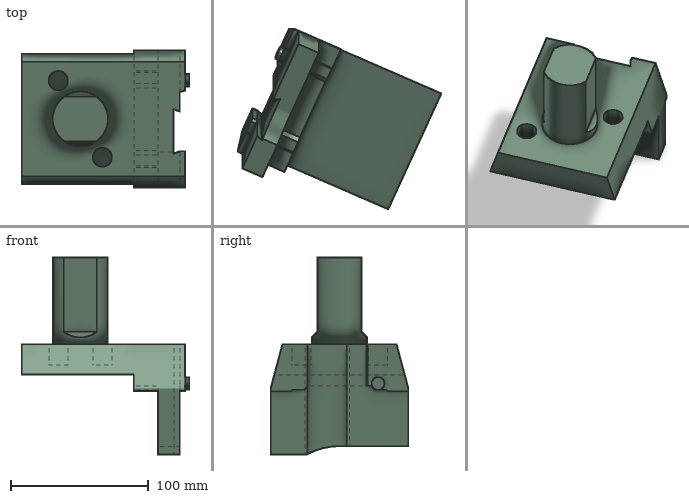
import cadquery as cq
import math


plate_min_x = -42.5
plate_max_x = 76.0
plate_thickness = 22.0
block_min_x = 38.7
block_depth = 34.0
block_width = 100.0
slope_depth = 32.0
slope_angle = 15.0

shaft_diameter = 40.0
shaft_height = 63.0
width_across_flats = 32.0
flat_start_z = 9.0

shallow_groove_depth = 0.9
shallow_groove_half_width = 34.0
deep_groove_depth = 4.0
deep_groove_half_width = 22.7
deep_groove_bevel = deep_groove_depth - shallow_groove_depth

leg_min_x = 56.2
leg_max_x = 72.2
leg_depth = 80.0
arch_rise = 6.0
arch_radius = 50.0

recess_min_y = -23.4
recess_max_y = 20.5
recess_taper = 1.0
slot_floor_x = 67.7
slot_floor_min_y = -25.1
slot_floor_max_y = 7.0
slot_mouth_max_y = 5.3

pin_diameter = 9.3
pin_length = 3.0
pin_y = 28.0
pin_z = -28.5

hole_offset_x = 16.0
hole_offset_y = 27.8
rear_hole_diameter = 14.0
front_hole_diameter = 13.8
hole_depth = 15.0


def make_body():
    """Plate and block with sloping sides."""
    half_width = block_width / 2
    top_half_width = half_width - slope_depth * math.tan(math.radians(slope_angle))
    length = plate_max_x - plate_min_x
    body = (
        cq.Workplane("YZ", origin=(plate_min_x, 0, 0))
        .moveTo(-top_half_width, 0)
        .lineTo(-half_width, -slope_depth)
        .lineTo(-half_width, -block_depth)
        .lineTo(half_width, -block_depth)
        .lineTo(half_width, -slope_depth)
        .lineTo(top_half_width, 0)
        .close()
        .extrude(length)
    )
    space_below_plate = cq.Workplane("XY").box(
        block_min_x - plate_min_x,
        block_width,
        block_depth - plate_thickness,
        centered=(False, True, False),
    ).translate((plate_min_x, 0, -block_depth))
    return body.cut(space_below_plate)


def make_underside_groove(start_x, end_x):
    """Wide shallow groove with a deeper groove, both with 45 degree walls, between two X places."""
    mouth_z = -block_depth
    shallow_z = mouth_z + shallow_groove_depth
    deep_z = mouth_z + deep_groove_depth
    mouth_half_width = shallow_groove_half_width + shallow_groove_depth
    bevel_half_width = deep_groove_half_width + deep_groove_bevel
    right_side = [
        (mouth_half_width, mouth_z),
        (shallow_groove_half_width, shallow_z),
        (bevel_half_width, shallow_z),
        (deep_groove_half_width, deep_z),
    ]
    left_side = [(-y, z) for y, z in reversed(right_side)]
    return (
        cq.Workplane("YZ", origin=(start_x, 0, 0))
        .polyline(right_side + left_side)
        .close()
        .extrude(end_x - start_x)
    )


def make_leg():
    """Leg whose lower edge is raised on the +Y side and arches down to full depth."""
    half_width = block_width / 2
    leg_top_z = -block_depth
    raised_z = -leg_depth + arch_rise
    arch_center_z = raised_z - arch_radius
    arch_angle = math.acos((arch_radius - arch_rise) / arch_radius)
    arch_end_y = -arch_radius * math.sin(arch_angle)
    arch_middle = (
        -arch_radius * math.sin(arch_angle / 2),
        arch_center_z + arch_radius * math.cos(arch_angle / 2),
    )
    return (
        cq.Workplane("YZ", origin=(leg_min_x, 0, 0))
        .moveTo(half_width, leg_top_z)
        .lineTo(half_width, raised_z)
        .lineTo(0, raised_z)
        .threePointArc(arch_middle, (arch_end_y, -leg_depth))
        .lineTo(-half_width, -leg_depth)
        .lineTo(-half_width, leg_top_z)
        .close()
        .extrude(leg_max_x - leg_min_x)
    )


def make_end_recess():
    """Recess back to the leg face plus the dovetail slot, through the full height."""
    outline = [
        (plate_max_x, recess_min_y),
        (leg_max_x, recess_min_y),
        (slot_floor_x, slot_floor_min_y),
        (slot_floor_x, slot_floor_max_y),
        (leg_max_x, slot_mouth_max_y),
        (leg_max_x, recess_max_y - recess_taper),
        (plate_max_x, recess_max_y),
    ]
    return cq.Workplane("XY").polyline(outline).close().extrude(-leg_depth)


def make_shaft():
    """Round shaft with two opposite flats."""
    radius = shaft_diameter / 2
    half_flats = width_across_flats / 2
    runout_z = flat_start_z - (radius - half_flats)
    shaft = cq.Workplane("XY").circle(radius).extrude(shaft_height)
    for side in (-1, 1):
        flat_cut = (
            cq.Workplane("YZ", origin=(-radius, 0, 0))
            .moveTo(side * half_flats, shaft_height)
            .lineTo(side * half_flats, flat_start_z)
            .lineTo(side * radius, runout_z)
            .lineTo(side * radius, shaft_height)
            .close()
            .extrude(shaft_diameter)
        )
        shaft = shaft.cut(flat_cut)
    return shaft


def make_pin():
    """Short pin standing out of the +X face."""
    return (
        cq.Workplane("YZ", origin=(plate_max_x, pin_y, pin_z))
        .circle(pin_diameter / 2)
        .extrude(pin_length)
    )


def make_hole(x, y, diameter):
    """Flat-bottomed hole sunk from the plate top."""
    return cq.Workplane("XY").center(x, y).circle(diameter / 2).extrude(-hole_depth)


result = make_body().union(make_leg())
result = result.cut(make_underside_groove(block_min_x, leg_min_x))
result = result.cut(make_underside_groove(leg_max_x, plate_max_x))
result = result.cut(make_end_recess())
result = result.union(make_shaft())
result = result.union(make_pin())
result = result.cut(make_hole(-hole_offset_x, hole_offset_y, rear_hole_diameter))
result = result.cut(make_hole(hole_offset_x, -hole_offset_y, front_hole_diameter))